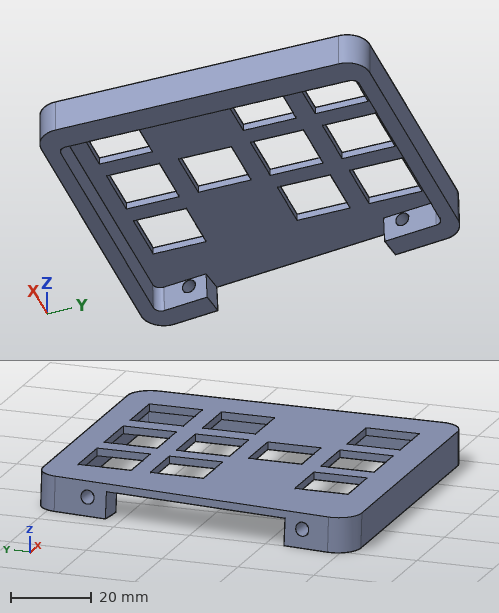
import cadquery as cq
import math

width = 82.6
length = 87.0
height = 9.0
corner_radius = 6.0
plate_thickness = 2.0
cavity_height = height - plate_thickness

plan_angle = 6.2
lean_angle = 5.0
plan_slope = math.tan(math.radians(plan_angle))
lean_slope = math.tan(math.radians(lean_angle))

wall = 4.0
right_wall = 7.2
left_wall = 6.0
inner_radius = corner_radius - wall

key_size = 14.0
key_pitch = 19.05
first_key_x = 26.9
first_key_y = 15.4
key_rows = [(0, 1, 2), (1,), (0, 1, 2), (0, 1, 2)]

notch_start = 18.6
notch_end = 67.6
screw_diameter = 3.6
screw_height = 4.9
screw_positions = (13.7, 72.6)
cut_overshoot = 1.7
cut_depth = left_wall + 2 * cut_overshoot


def left_face_x(y, z):
    """X of the left face; its front rounded corner touches x = 0 at the bottom."""
    tangent_offset = corner_radius * (1 - 1 / math.cos(math.radians(plan_angle)))
    return tangent_offset + (y - corner_radius) * plan_slope + z * lean_slope


def leaning_block(margin, left_margin, right_margin, block_height, radius):
    """Block set in from the outer faces, with rounded upright corners."""
    left_shift = left_margin / math.cos(math.radians(plan_angle))
    front, back, right = margin, length - margin, width - right_margin

    def corners(z):
        return [
            (left_face_x(front, z) + left_shift, front),
            (right, front),
            (right, back),
            (left_face_x(back, z) + left_shift, back),
        ]

    block = (
        cq.Workplane("XY")
        .polyline(corners(0)).close()
        .workplane(offset=block_height)
        .polyline(corners(block_height)).close()
        .loft(ruled=True, combine=True)
    )
    return block.edges("not #Z").fillet(radius)


def key_openings():
    centers = [
        (first_key_x + column * key_pitch, first_key_y + row * key_pitch)
        for row, columns in enumerate(key_rows)
        for column in columns
    ]
    return cq.Workplane("XY").pushPoints(centers).rect(key_size, key_size).extrude(height)


def wall_notch():
    """Opening below the plate, cut square to the left wall in plan."""
    middle_y = (notch_start + notch_end) / 2
    notch_width = (notch_end - notch_start) / math.cos(math.radians(plan_angle))
    return (
        cq.Workplane("XY")
        .box(cut_depth, notch_width, cavity_height, centered=(False, True, False))
        .translate((-cut_overshoot, 0, 0))
        .rotate((0, 0, 0), (0, 0, 1), -plan_angle)
        .translate((left_face_x(middle_y, 0), middle_y, 0))
    )


def screw_hole(y):
    """Level hole through the left wall, square to it in plan."""
    inward = cq.Vector(1, -plan_slope, 0).normalized()
    entry = cq.Vector(left_face_x(y, screw_height), y, screw_height)
    start = entry - inward * cut_overshoot
    return cq.Workplane(cq.Solid.makeCylinder(screw_diameter / 2, cut_depth, start, inward))


result = leaning_block(0, 0, 0, height, corner_radius)
result = result.cut(leaning_block(wall, left_wall, right_wall, cavity_height, inner_radius))
result = result.cut(key_openings())
result = result.cut(wall_notch())
for screw_y in screw_positions:
    result = result.cut(screw_hole(screw_y))